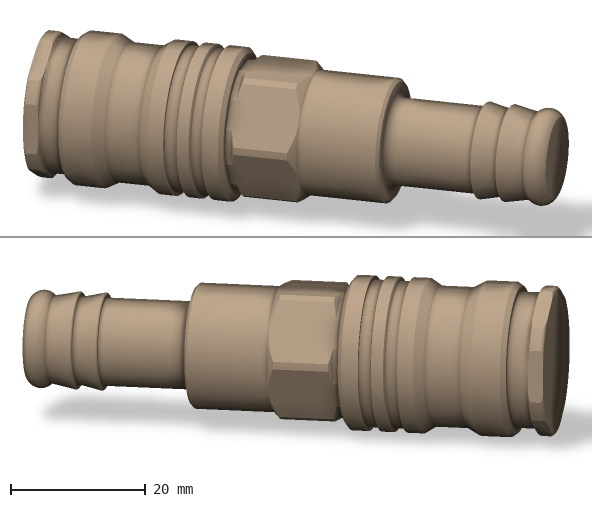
import cadquery as cq
import math

total_length = 79.6

head_length = 2.3
head_across_flats = 21.0
head_corner_radius = 22.45 / 2
head_edge_round = 0.55
head_root_fillet = 0.5

shaft_radius = 20.3 / 2

sleeve_start = 5.6
sleeve_end = 31.05
sleeve_radius = 23.2 / 2
sleeve_front_chamfer_length = 0.8
sleeve_front_chamfer_depth = 0.55
sleeve_back_chamfer_length = 0.6
sleeve_back_chamfer_depth = 0.8
valley_radius = 21.0 / 2
valley_slope_start = 10.8
valley_floor_start = 12.8
valley_floor_end = 17.8
valley_slope_end = 19.5
grip_groove_radius = 22.0 / 2
front_groove_start = 22.0
grip_ridge_start = 24.0
grip_ridge_end = 25.9
back_groove_end = 27.85
grip_ridge_bevel = 0.2

hex_across_flats = 19.0
hex_corner_radius = 21.3 / 2
hex_relief_radius = 19.6 / 2
hex_relief_end = 32.0
hex_corner_start = 32.55
hex_end = 42.1

barrel_radius = 18.8 / 2
barrel_end = 54.6
barrel_chamfer = 0.5
tail_radius = 13.1 / 2
tail_fillet = 0.9
barb_radius = 14.65 / 2
barb_crest_round = 0.3
front_barb_start = 68.1
back_barb_start = 72.0
back_barb_root_fillet = 0.2
bead_start = 76.1
bead_peak = 77.75
bead_radius = 14.65 / 2
bead_end_radius = 6.2


def revolve_about_x(profile):
    """Turn a closed (x, radius) outline about the X axis."""
    return profile.close().revolve(360, (0, 0, 0), (1, 0, 0))


def hexagonal_bar(start, end, across_flats, turn):
    """Hexagonal bar along X; with no turn its flats face +Z and -Z."""
    across_corners = across_flats / math.cos(math.pi / 6)
    bar = cq.Workplane("YZ").polygon(6, across_corners).extrude(end - start)
    return bar.rotate((0, 0, 0), (1, 0, 0), turn).translate((start, 0, 0))


def make_head():
    """Turned disc with rounded rims and a fillet down to the shaft, cut to six flats."""
    fillet_end = head_length + head_root_fillet
    turned = revolve_about_x(
        cq.Workplane("XY")
        .lineTo(0, head_corner_radius - head_edge_round)
        .radiusArc((head_edge_round, head_corner_radius), head_edge_round)
        .lineTo(head_length - head_edge_round, head_corner_radius)
        .radiusArc((head_length, head_corner_radius - head_edge_round), head_edge_round)
        .lineTo(head_length, shaft_radius + head_root_fillet)
        .radiusArc((fillet_end, shaft_radius), -head_root_fillet)
        .lineTo(fillet_end, 0)
    )
    return turned.intersect(hexagonal_bar(0, fillet_end, head_across_flats, 90))


def make_shaft():
    shaft = cq.Workplane("YZ").circle(shaft_radius).extrude(sleeve_end - head_length)
    return shaft.translate((head_length, 0, 0))


def make_wrench_hexagon():
    end_bevel = hex_corner_radius - barrel_radius
    turned = revolve_about_x(
        cq.Workplane("XY")
        .moveTo(sleeve_end, 0)
        .lineTo(sleeve_end, hex_relief_radius)
        .lineTo(hex_relief_end, hex_relief_radius)
        .lineTo(hex_corner_start, hex_corner_radius)
        .lineTo(hex_end - end_bevel, hex_corner_radius)
        .lineTo(hex_end, barrel_radius)
        .lineTo(hex_end, 0)
    )
    return turned.intersect(hexagonal_bar(sleeve_end, hex_end, hex_across_flats, 0))


def add_barb_crest(profile, barb_start):
    """Steep barb face rising to a rounded crest; the taper behind it follows in the outline."""
    profile = profile.lineTo(barb_start, barb_radius - barb_crest_round)
    return profile.radiusArc((barb_start + barb_crest_round, barb_radius), barb_crest_round)


def make_barrel_and_tail():
    profile = (
        cq.Workplane("XY")
        .moveTo(hex_end, 0)
        .lineTo(hex_end, barrel_radius)
        .lineTo(barrel_end - barrel_chamfer, barrel_radius)
        .lineTo(barrel_end, barrel_radius - barrel_chamfer)
        .lineTo(barrel_end, tail_radius + tail_fillet)
        .radiusArc((barrel_end + tail_fillet, tail_radius), -tail_fillet)
    )
    profile = add_barb_crest(profile.lineTo(front_barb_start, tail_radius), front_barb_start)
    profile = profile.lineTo(back_barb_start - back_barb_root_fillet, tail_radius).radiusArc(
        (back_barb_start, tail_radius + back_barb_root_fillet), -back_barb_root_fillet
    )
    profile = add_barb_crest(profile, back_barb_start)
    profile = (
        profile.lineTo(bead_start, tail_radius)
        .threePointArc((bead_peak, bead_radius), (total_length, bead_end_radius))
        .lineTo(total_length, 0)
    )
    return revolve_about_x(profile)


def make_core():
    return make_head().union(make_shaft()).union(make_wrench_hexagon()).union(make_barrel_and_tail())


def make_sleeve():
    profile = (
        cq.Workplane("XY")
        .moveTo(sleeve_start, shaft_radius)
        .lineTo(sleeve_start, sleeve_radius - sleeve_front_chamfer_depth)
        .lineTo(sleeve_start + sleeve_front_chamfer_length, sleeve_radius)
        .lineTo(valley_slope_start, sleeve_radius)
        .lineTo(valley_floor_start, valley_radius)
        .lineTo(valley_floor_end, valley_radius)
        .lineTo(valley_slope_end, sleeve_radius)
        .lineTo(front_groove_start, sleeve_radius)
        .lineTo(front_groove_start, grip_groove_radius)
        .lineTo(grip_ridge_start - grip_ridge_bevel, grip_groove_radius)
        .lineTo(grip_ridge_start, sleeve_radius)
        .lineTo(grip_ridge_end, sleeve_radius)
        .lineTo(grip_ridge_end + grip_ridge_bevel, grip_groove_radius)
        .lineTo(back_groove_end, grip_groove_radius)
        .lineTo(back_groove_end, sleeve_radius)
        .lineTo(sleeve_end - sleeve_back_chamfer_length, sleeve_radius)
        .lineTo(sleeve_end, sleeve_radius - sleeve_back_chamfer_depth)
        .lineTo(sleeve_end, shaft_radius)
    )
    return revolve_about_x(profile)


core = make_core()
sleeve = make_sleeve()

result = cq.Compound.makeCompound([core.solids().val(), sleeve.val()])